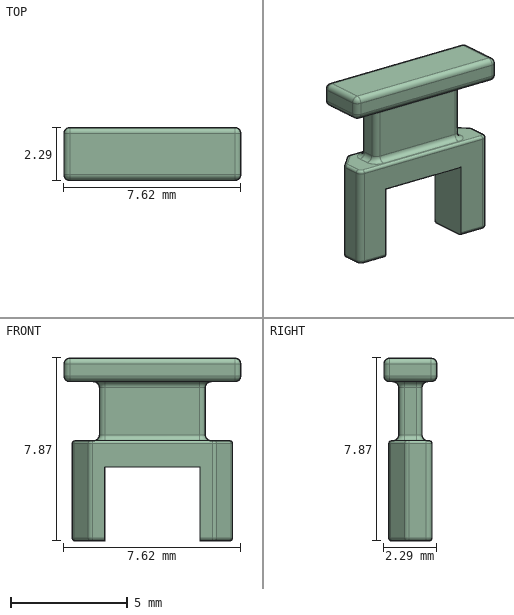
import cadquery as cq

HEAD_LENGTH = 7.62
HEAD_WIDTH = 2.286
HEAD_HEIGHT = 1.016

NECK_LENGTH = 4.572
NECK_WIDTH = 1.016
NECK_HEIGHT = 2.54

BASE_LENGTH = 6.909
BASE_WIDTH = 1.867
BASE_HEIGHT = 4.318
BASE_CHAMFER = 0.762
SLOT_LENGTH = 4.083
SLOT_HEIGHT = 3.175

MAIN_RADIUS = 0.254
RIM_RADIUS = 0.127

NECK_BOTTOM = BASE_HEIGHT
HEAD_BOTTOM = NECK_BOTTOM + NECK_HEIGHT


def block(length, width, height, bottom):
    """Box centred on the Z axis, standing on the given height."""
    box = cq.Workplane("XY").box(length, width, height, centered=(True, True, False))
    return box.translate((0, 0, bottom))


def make_base():
    base = block(BASE_LENGTH, BASE_WIDTH, BASE_HEIGHT, 0)
    base = base.faces("<Y").edges("|Z").chamfer(BASE_CHAMFER)
    base = base.edges("|Z").fillet(MAIN_RADIUS)
    base = base.faces("<Z or >Z").edges().fillet(RIM_RADIUS)
    slot = block(SLOT_LENGTH, BASE_WIDTH, SLOT_HEIGHT, 0)
    return base.cut(slot)


def make_neck():
    neck = block(NECK_LENGTH, NECK_WIDTH, NECK_HEIGHT, NECK_BOTTOM)
    return neck.edges("|Z").fillet(MAIN_RADIUS)


def make_head():
    head = block(HEAD_LENGTH, HEAD_WIDTH, HEAD_HEIGHT, HEAD_BOTTOM)
    return head.edges().fillet(MAIN_RADIUS)


def round_neck_roots(body):
    """Blend both ends of the neck into the base and the head."""
    reach = MAIN_RADIUS / 2
    corner_x = NECK_LENGTH / 2 + reach
    corner_y = NECK_WIDTH / 2 + reach
    for height in (NECK_BOTTOM, HEAD_BOTTOM):
        low_corner = (-corner_x, -corner_y, height - reach)
        high_corner = (corner_x, corner_y, height + reach)
        root_edges = cq.selectors.BoxSelector(low_corner, high_corner, boundingbox=True)
        body = body.edges(root_edges).fillet(MAIN_RADIUS)
    return body


result = round_neck_roots(make_base().union(make_neck()).union(make_head()))